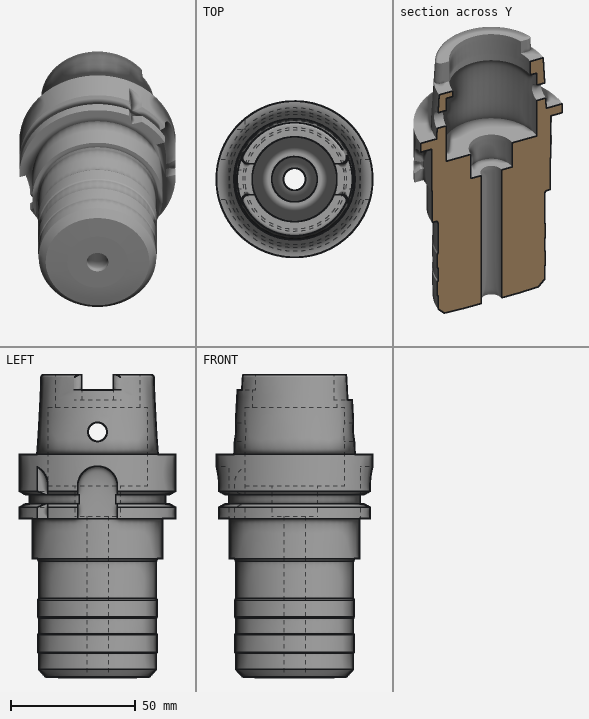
import cadquery as cq
import math

total_height = 122.0
flange_top = 89.9
flange_bottom = 64.0
collar_bottom = 48.0

taper_base_radius = 24.4
taper_top_radius = 22.7
rim_fillet = 1.2

flange_radius = 31.5
groove_radius = 27.5
groove_bevel_radius = 28.9
groove_top_edge = 75.2
groove_bottom_edge = 68.6
groove_bevel_height = 1.5

collar_radius = 26.2
neck_height = 1.1
neck_radius = 24.2
body_radius = 23.7
ring_radius = 24.0
upper_ring_bottom = 23.9
upper_ring_top = 32.0
upper_ring_bevel = 0.7
lower_ring_bottom = 10.0
lower_ring_top = 17.8
lower_ring_bevel = 0.4
end_bevel_top = 3.4
end_bevel_bottom = 0.4
end_bevel_radius = 20.9
end_face_radius = 12.2

mouth_radius = 17.1
mouth_depth = 13.2
clamp_floor = 77.2
clamp_radius = 20.0
counterbore_radius = 9.2
counterbore_depth = 12.2
coolant_radius = 4.4

drive_slot_width = 12.6
left_drive_slot_depth = 6.1
right_drive_slot_depth = 10.1
drive_slot_round = 2.2

cross_hole_radius = 3.8
cross_hole_height = 99.0

flange_slot_width = 16.0
flange_slot_floor = 26.5
flange_slot_peak = flange_top - 4.8

notch_corner = 20.0
notch_round_radius = 8.0
notch_round_height = flange_top - 12.2


def ring_outline(bottom, top, bevel):
    """Points of a raised, bevelled ring on the body, from bottom to top."""
    return [
        (body_radius, bottom),
        (ring_radius, bottom + bevel),
        (ring_radius, top - bevel),
        (body_radius, top),
    ]


def make_body():
    """Turned outside of the holder."""
    outline = [
        (0, 0),
        (end_face_radius, 0),
        (end_bevel_radius, end_bevel_bottom),
        (body_radius, end_bevel_top),
        *ring_outline(lower_ring_bottom, lower_ring_top, lower_ring_bevel),
        *ring_outline(upper_ring_bottom, upper_ring_top, upper_ring_bevel),
        (body_radius, collar_bottom - neck_height),
        (neck_radius, collar_bottom),
        (collar_radius, collar_bottom),
        (collar_radius, flange_bottom),
        (flange_radius, flange_bottom),
        (flange_radius, groove_bottom_edge),
        (groove_bevel_radius, groove_bottom_edge + groove_bevel_height),
        (groove_radius, groove_bottom_edge + groove_bevel_height),
        (groove_radius, groove_top_edge - groove_bevel_height),
        (groove_bevel_radius, groove_top_edge - groove_bevel_height),
        (flange_radius, groove_top_edge),
        (flange_radius, flange_top),
        (taper_base_radius, flange_top),
        (taper_top_radius, total_height),
        (0, total_height),
    ]
    return cq.Workplane("XZ").polyline(outline).close().revolve(360, (0, 0), (0, 1))


def make_bore():
    """Mouth, wider clamping chamber, counterbore and coolant hole."""
    mouth_bottom = total_height - mouth_depth
    counterbore_bottom = clamp_floor - counterbore_depth
    outline = [
        (0, 0),
        (coolant_radius, 0),
        (coolant_radius, counterbore_bottom),
        (counterbore_radius, counterbore_bottom),
        (counterbore_radius, clamp_floor),
        (clamp_radius, clamp_floor),
        (clamp_radius, mouth_bottom),
        (mouth_radius, mouth_bottom),
        (mouth_radius, total_height),
        (0, total_height),
    ]
    return cq.Workplane("XZ").polyline(outline).close().revolve(360, (0, 0), (0, 1))


def make_drive_slot(side, depth):
    """Slot through the rim on one X side; side is -1 or 1."""
    return (
        cq.Workplane("XY")
        .box(flange_radius, drive_slot_width, depth, centered=(True, True, False))
        .translate((side * flange_radius / 2, 0, total_height - depth))
    )


def round_drive_slots(holder):
    """Round the outer upright corners of the drive slots."""
    half_width = drive_slot_width / 2
    middle_height = total_height - left_drive_slot_depth / 2
    corner_x = math.sqrt(taper_top_radius**2 - half_width**2)
    for side_x in (-1, 1):
        for side_y in (-1, 1):
            corner = (side_x * corner_x, side_y * half_width, middle_height)
            holder = holder.edges(cq.selectors.NearestToPointSelector(corner)).fillet(drive_slot_round)
    return holder


def make_flange_slot(side):
    """Round-topped slot in the flange, open at the bottom."""
    half_width = flange_slot_width / 2
    spring_height = flange_slot_peak - half_width
    return (
        cq.Workplane("YZ", origin=(side * flange_slot_floor, 0, 0))
        .moveTo(-half_width, flange_bottom)
        .lineTo(half_width, flange_bottom)
        .lineTo(half_width, spring_height)
        .threePointArc((0, flange_slot_peak), (-half_width, spring_height))
        .close()
        .extrude(side * flange_radius)
    )


def make_notch():
    """Square corner cut with a rounded top end."""
    far_side = notch_corner + 2 * notch_round_radius
    middle = notch_corner + notch_round_radius
    return (
        cq.Workplane("YZ", origin=(-notch_corner, 0, 0))
        .moveTo(notch_corner, flange_bottom)
        .lineTo(far_side, flange_bottom)
        .lineTo(far_side, notch_round_height)
        .threePointArc((middle, notch_round_height + notch_round_radius), (notch_corner, notch_round_height))
        .close()
        .extrude(-flange_radius)
    )


def make_cross_hole():
    """Round hole along X through both walls of the taper."""
    return (
        cq.Workplane("YZ", origin=(-flange_radius, 0, cross_hole_height))
        .circle(cross_hole_radius)
        .extrude(2 * flange_radius)
    )


body = make_body()
result = body.cut(make_bore())
result = result.cut(make_drive_slot(-1, left_drive_slot_depth))
result = result.cut(make_drive_slot(1, right_drive_slot_depth))
result = round_drive_slots(result)

result = result.intersect(body.faces(">Z").edges().fillet(rim_fillet))

for side in (-1, 1):
    result = result.cut(make_flange_slot(side))
result = result.cut(make_notch())
result = result.cut(make_cross_hole())